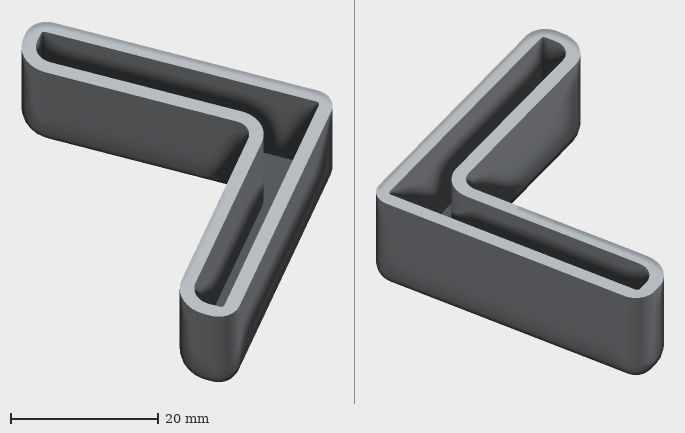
import cadquery as cq

side = 44.0
height = 15.0
leg_width = 9.0
wall = 2.0
floor = 2.0
outer_radius = 3.0
tip_radius = 5.0
elbow_radius = 2.5
bottom_radius = 2.95
cavity_radius = 0.5


def angle_prism(inset, depth, far_radius):
    """L-shaped prism whose outline lies `inset` inside the outer face.

    The corners along the long outer faces get `far_radius`; the others stay concentric.
    """
    near = inset
    far = side - inset
    inner = side - leg_width + inset
    corners = [(near, far), (far, far), (far, near), (inner, near), (inner, inner), (near, inner)]
    prism = cq.Workplane("XY").polyline(corners).close().extrude(depth)

    def round_corners(body, points, radius):
        upright_edges = body.edges("|Z")
        chosen = [
            upright_edges.edges(cq.selectors.NearestToPointSelector((x, y, depth / 2))).val()
            for x, y in points
        ]
        return body.newObject(chosen).fillet(radius)

    prism = round_corners(prism, [(near, far), (far, far), (far, near)], far_radius)
    prism = round_corners(prism, [(inner, near), (near, inner)], tip_radius - inset)
    return round_corners(prism, [(inner, inner)], elbow_radius + inset)


body = angle_prism(0, height, outer_radius).faces("<Z").edges().fillet(bottom_radius)

cavity = angle_prism(wall, height - floor, cavity_radius).translate((0, 0, floor))

result = body.cut(cavity).translate((-side / 2, -side / 2, 0))